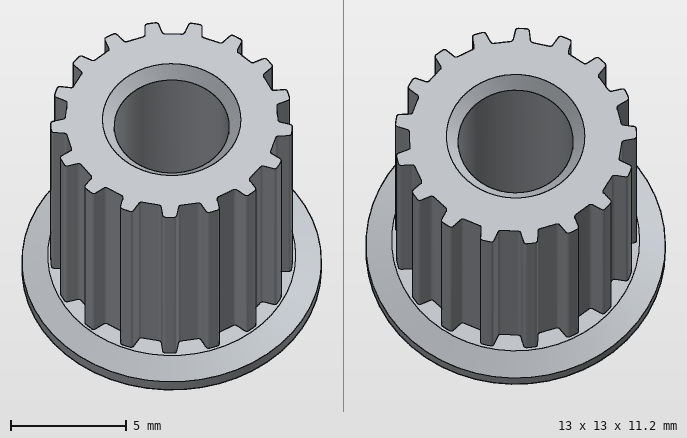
import cadquery as cq
import math

TOOTH_COUNT = 17
TIP_RADIUS = 5.25
GROOVE_DEPTH = 0.65
GROOVE_FLOOR_WIDTH = 0.92
FLANK_ANGLE = 20.0
TOOTH_FILLET = 0.13
TOOTH_LENGTH = 10.0

FLANGE_RADIUS = 6.5
FLANGE_SEAT_RADIUS = 5.38
RIM_HEIGHT = 0.6
SLOPE_HEIGHT = 0.4

HUB_RADIUS = 4.0
HUB_HEIGHT = 0.21
BORE_RADIUS = 2.5
BORE_CHAMFER = 0.51

FLANGE_TOP = HUB_HEIGHT + RIM_HEIGHT + SLOPE_HEIGHT
TOP = FLANGE_TOP + TOOTH_LENGTH


def groove_cutter():
    """Trapezoidal groove at the +Y side, running past the tooth tips."""
    floor_y = TIP_RADIUS - GROOVE_DEPTH
    mouth_y = TIP_RADIUS + GROOVE_DEPTH
    half_floor = GROOVE_FLOOR_WIDTH / 2
    half_mouth = half_floor + (mouth_y - floor_y) * math.tan(math.radians(FLANK_ANGLE))
    return (
        cq.Workplane("XY", origin=(0, 0, FLANGE_TOP))
        .moveTo(-half_floor, floor_y)
        .lineTo(half_floor, floor_y)
        .lineTo(half_mouth, mouth_y)
        .lineTo(-half_mouth, mouth_y)
        .close()
        .extrude(TOOTH_LENGTH)
    )


def toothed_section():
    """Cylinder with evenly spaced grooves, rounded at the tooth tips and groove corners."""
    body = cq.Workplane("XY", origin=(0, 0, FLANGE_TOP)).circle(TIP_RADIUS).extrude(TOOTH_LENGTH)
    cutter = groove_cutter()
    for index in range(TOOTH_COUNT):
        angle = index * 360 / TOOTH_COUNT
        body = body.cut(cutter.rotate((0, 0, 0), (0, 0, 1), angle))

    return body.edges("|Z").fillet(TOOTH_FILLET)


def flange_and_hub():
    """Revolved flange with its sloped face, and the short hub beneath it."""
    rim_top = HUB_HEIGHT + RIM_HEIGHT
    return (
        cq.Workplane("XZ")
        .moveTo(0, 0)
        .lineTo(HUB_RADIUS, 0)
        .lineTo(HUB_RADIUS, HUB_HEIGHT)
        .lineTo(FLANGE_RADIUS, HUB_HEIGHT)
        .lineTo(FLANGE_RADIUS, rim_top)
        .lineTo(FLANGE_SEAT_RADIUS, FLANGE_TOP)
        .lineTo(0, FLANGE_TOP)
        .close()
        .revolve(360, (0, 0, 0), (0, 1, 0))
    )


def bore_cutter():
    """Through bore with a conical lead-in at the top."""
    return (
        cq.Workplane("XZ")
        .moveTo(0, 0)
        .lineTo(BORE_RADIUS, 0)
        .lineTo(BORE_RADIUS, TOP - BORE_CHAMFER)
        .lineTo(BORE_RADIUS + BORE_CHAMFER, TOP)
        .lineTo(0, TOP)
        .close()
        .revolve(360, (0, 0, 0), (0, 1, 0))
    )


result = flange_and_hub().union(toothed_section()).cut(bore_cutter())